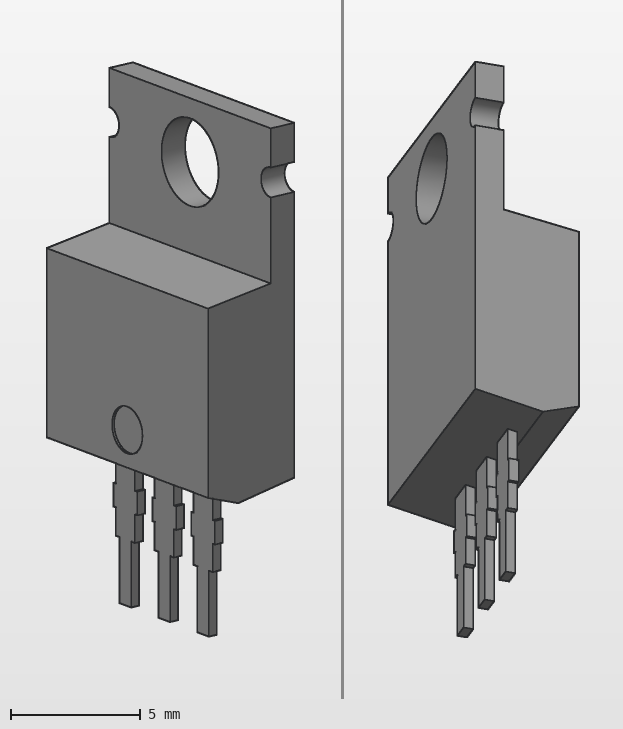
import cadquery as cq

total_height = 20.85
package_width = 10.05
package_depth = 4.25

tab_thickness = 1.17
hole_diameter = 3.55
hole_z = total_height - 2.59
notch_radius = 0.6
notch_z = total_height - 2.19

body_top_back_z = 14.75
body_top_front_z = 14.15
body_shoulder_z = 6.5
ridge_z = 6.0
ridge_y = -2.77

mark_diameter = 1.9
mark_z = 8.03
mark_depth = 0.1

lead_count = 3
lead_pitch = 2.42
lead_thickness = 0.4
lead_back_y = -2.05
lead_width = 1.2
collar_width = 1.48
tip_width = 0.73
tip_top_z = 2.67
collar_bottom_z = 3.82
collar_top_z = 4.77
lead_embedment = 0.2
lead_root_z = body_shoulder_z + lead_embedment


def plate(width, bottom_z, top_z, back_y, thickness, center_x=0.0):
    """Upright rectangular plate whose rear face lies at back_y."""
    return (
        cq.Workplane("XY")
        .box(width, thickness, top_z - bottom_z, centered=(True, False, False))
        .translate((center_x, back_y - thickness, bottom_z))
    )


def cylinder_along_y(diameter, x, z, front_y, length):
    """Cylinder running from front_y towards +Y."""
    return (
        cq.Workplane("XZ", origin=(x, front_y, z))
        .circle(diameter / 2)
        .extrude(-length)
    )


def make_body():
    body = (
        cq.Workplane("YZ")
        .moveTo(0, body_shoulder_z)
        .lineTo(0, body_top_back_z)
        .lineTo(-package_depth, body_top_front_z)
        .lineTo(-package_depth, body_shoulder_z)
        .lineTo(ridge_y, ridge_z)
        .close()
        .extrude(package_width / 2, both=True)
    )
    return body.cut(cylinder_along_y(mark_diameter, 0, mark_z, -package_depth, mark_depth))


def make_tab():
    tab = plate(package_width, body_shoulder_z, total_height, 0, tab_thickness)
    tab = tab.cut(cylinder_along_y(hole_diameter, 0, hole_z, -tab_thickness, tab_thickness))
    for edge_x in (-package_width / 2, package_width / 2):
        notch = cylinder_along_y(2 * notch_radius, edge_x, notch_z, -tab_thickness, tab_thickness)
        tab = tab.cut(notch)
    return tab


def make_lead(center_x):
    tip = plate(tip_width, 0, tip_top_z, lead_back_y, lead_thickness, center_x)
    shank = plate(lead_width, tip_top_z, lead_root_z, lead_back_y, lead_thickness, center_x)
    collar = plate(collar_width, collar_bottom_z, collar_top_z, lead_back_y, lead_thickness, center_x)
    return shank.union(tip).union(collar)


result = make_body().union(make_tab())
for index in range(lead_count):
    lead_x = (index - (lead_count - 1) / 2) * lead_pitch
    result = result.union(make_lead(lead_x))